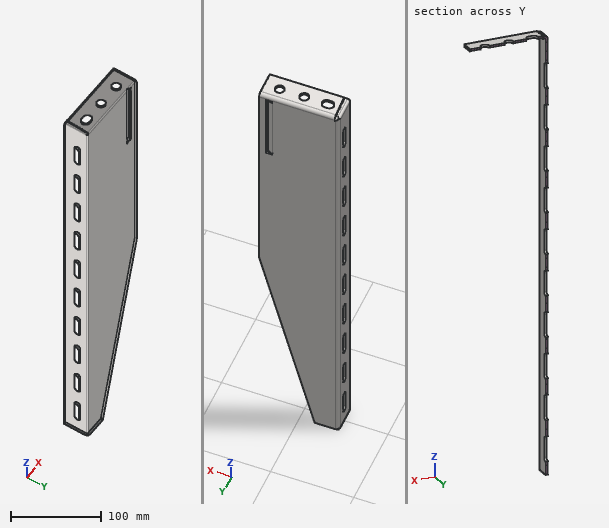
import cadquery as cq
import math

WIDTH = 96.0
DEPTH = 32.48
HEIGHT = 531.0

SHEET = 3.0
BEND_OUTER = 4.5
BEND_INNER = BEND_OUTER - SHEET

BEND_END_DROP = 0.8
BEND_END_OFFSET = 1.0
BEND_END_SIZE = 1.8

WEB_FOOT_X = 29.0
TAPER_TOP_Z = 253.0

TOP_SETBACK = 1.0
SEAM_WIDTH = 0.2
SEAM_BACK_X = 5.2
SEAM_FRONT_X = 6.6

CORNER_DROP = 1.5
CORNER_BEND = 3.2

HOLE_DIA = 11.0
HOLE_Y = DEPTH - 15.5
HOLE_XS = (48.0, 77.5)
TOP_SLOT_X = 19.5
TOP_SLOT_LENGTH = 14.5

SLOT_COUNT = 10
SLOT_PITCH = 50.0
SLOT_LENGTH = 30.0
SLOT_WIDTH = 8.0
SLOT_Y = DEPTH / 2
LOWEST_SLOT_Z = 31.8

WINDOW_LEFT_X = 80.1
WINDOW_RIGHT_X = 88.0
WINDOW_BOTTOM_Z = HEIGHT - 96.3
WINDOW_TOP_Z = HEIGHT - 6.7
TAB_END_GAP = 1.6
TAB_ANGLE = math.radians(70.0)
TAB_BEND_INNER = 4.8


def bent_shell(height, end_bend):
    """Sheet corner with a web, a side flange and a top; end_bend is the outer radius from side to top."""
    outer = rounded_block(height, BEND_OUTER, end_bend)
    inner = rounded_block(height, BEND_INNER, end_bend - SHEET)
    return outer.cut(inner.translate((SHEET, -SHEET, -SHEET)))


def rounded_block(height, back_bend, end_bend):
    """Block rounded along both back edges and, with its own radius, along the top left edge."""
    block = cq.Workplane("XY").box(WIDTH, DEPTH, height, centered=False)
    block = block.edges("(<X and >Y) or (>Y and >Z)").fillet(back_bend)
    round_start = cq.Workplane("XZ").moveTo(0, height - end_bend)
    waste = round_start.lineTo(0, height).lineTo(end_bend, height)
    waste = waste.radiusArc((0, height - end_bend), -end_bend).close().extrude(-DEPTH)
    return block.cut(waste)


def right_of_seam(height):
    """Prism over everything to the right of the slanted seam line."""
    return (
        cq.Workplane("XY")
        .polyline([(SEAM_FRONT_X, 0), (WIDTH, 0), (WIDTH, DEPTH), (SEAM_BACK_X, DEPTH)])
        .close()
        .extrude(height)
    )


def bracket_body():
    """Main shell to the right of the seam and a slightly lower closing corner to the left of it."""
    region = right_of_seam(HEIGHT)
    main = bent_shell(HEIGHT, BEND_OUTER).intersect(region)
    corner = bent_shell(HEIGHT - CORNER_DROP, CORNER_BEND).cut(region)
    return main.union(corner)


def web_taper():
    """Waste triangle below the slanted edge of the web."""
    return (
        cq.Workplane("XZ", origin=(0, DEPTH, 0))
        .polyline([(WEB_FOOT_X, 0), (WIDTH, 0), (WIDTH, TAPER_TOP_Z)])
        .close()
        .extrude(DEPTH)
    )


def tab_window():
    """Rectangular opening through the web around the tab."""
    width = WINDOW_RIGHT_X - WINDOW_LEFT_X
    length = WINDOW_TOP_Z - WINDOW_BOTTOM_Z
    corner = cq.Workplane("XY", origin=(WINDOW_LEFT_X, DEPTH - SHEET, WINDOW_BOTTOM_Z))
    return corner.box(width, SHEET, length, centered=False)


def bent_tab():
    """Strip curving forward from the left side of the window to a square-cut end."""
    centre_y = DEPTH - SHEET - TAB_BEND_INNER
    outer = TAB_BEND_INNER + SHEET

    def on_bend(radius, angle):
        return (WINDOW_LEFT_X + radius * math.sin(angle), centre_y + radius * math.cos(angle))

    return (
        cq.Workplane("XY", origin=(0, 0, WINDOW_BOTTOM_Z + TAB_END_GAP))
        .moveTo(*on_bend(outer, 0))
        .threePointArc(on_bend(outer, TAB_ANGLE / 2), on_bend(outer, TAB_ANGLE))
        .lineTo(*on_bend(TAB_BEND_INNER, TAB_ANGLE))
        .threePointArc(on_bend(TAB_BEND_INNER, TAB_ANGLE / 2), on_bend(TAB_BEND_INNER, 0))
        .close()
        .extrude(WINDOW_TOP_Z - WINDOW_BOTTOM_Z - 2 * TAB_END_GAP)
    )


def side_slots():
    """Row of upright slots through the side flange."""
    centres = [(SLOT_Y, LOWEST_SLOT_Z + i * SLOT_PITCH) for i in range(SLOT_COUNT)]
    return (
        cq.Workplane("YZ")
        .pushPoints(centres)
        .slot2D(SLOT_LENGTH, SLOT_WIDTH, 90)
        .extrude(SHEET)
    )


def top_holes():
    """Two round holes and one lengthwise slot through the top flange."""
    plane = cq.Workplane("XY", origin=(0, 0, HEIGHT - SHEET))
    round_holes = plane.pushPoints([(x, HOLE_Y) for x in HOLE_XS]).circle(HOLE_DIA / 2).extrude(SHEET)
    slot = plane.center(TOP_SLOT_X, HOLE_Y).slot2D(TOP_SLOT_LENGTH, HOLE_DIA).extrude(SHEET)
    return round_holes.union(slot)


def top_seam():
    """Slit along the left end of the top flange, joined to the strip removed from its front edge."""
    seam_end_y = DEPTH - BEND_OUTER
    return (
        cq.Workplane("XY", origin=(0, 0, HEIGHT - SHEET))
        .polyline([
            (SEAM_BACK_X, seam_end_y),
            (SEAM_BACK_X + SEAM_WIDTH, seam_end_y),
            (SEAM_FRONT_X + SEAM_WIDTH, TOP_SETBACK),
            (WIDTH, TOP_SETBACK),
            (WIDTH, 0),
            (SEAM_FRONT_X, 0),
        ])
        .close()
        .extrude(SHEET)
    )


def foot_trim():
    """Thin layer off the bottom of the web and the side flange, leaving the bend a little longer."""
    layer = cq.Workplane("XY").box(WIDTH, DEPTH, BEND_END_DROP, centered=False)
    back_y = DEPTH - BEND_END_OFFSET
    bend = cq.Workplane("XY", origin=(BEND_END_OFFSET, back_y - BEND_END_SIZE, 0))
    bend = bend.box(BEND_END_SIZE, BEND_END_SIZE, BEND_END_DROP, centered=False)
    return layer.cut(bend)


result = bracket_body()
result = result.cut(web_taper())
result = result.cut(tab_window())
result = result.union(bent_tab())
result = result.cut(side_slots())
result = result.cut(top_holes())
result = result.cut(top_seam())
result = result.cut(foot_trim())